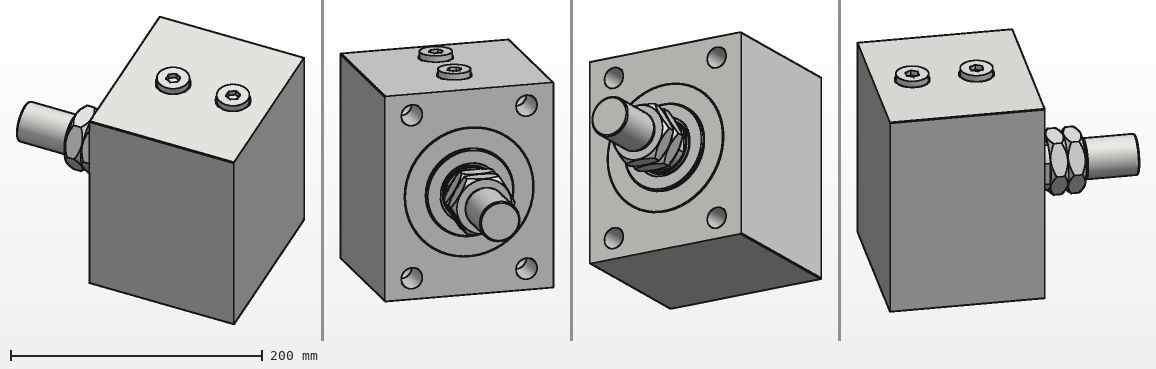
import cadquery as cq
import math

OVERALL_LENGTH = 212.0

BLOCK_LENGTH = 125.0
BLOCK_WIDTH = 140.0
BLOCK_HEIGHT = 170.0
BLOCK_EDGE_CHAMFER = 0.6
BLOCK_TOP = BLOCK_HEIGHT / 2

MOUNT_PITCH_Y = 95.0
MOUNT_PITCH_Z = 135.0
MOUNT_DIAMETER = 17.4
MOUNT_DEPTH = 29.7
DRILL_POINT_ANGLE = 118.0

PLUG_POSITIONS_X = (42.0, 94.0)
PLUG_DIAMETER = 26.0
PLUG_RISE = 4.9
PLUG_SEAT_DIAMETER = 28.0
PLUG_SEAT_DEPTH = 1.0
SOCKET_FLATS = 10.0
SOCKET_DEPTH = 4.2

GLAND_DIAMETER = 107.0
GLAND_DEPTH = 20.0
GLAND_CHAMFER = 0.6
BOSS_DIAMETER = 72.5
BOSS_HEIGHT = 3.2
BOSS_CHAMFER = 1.0
WIPER_RECESS_DIAMETER = 49.5
WIPER_RECESS_DEPTH = 2.1

ROD_DIAMETER = 45.0
ROD_CHAMFER = 0.6
ROD_PROTRUSION = 5.0
NOSE_DIAMETER = 44.3
NOSE_FLATS = 40.3
NOSE_LENGTH = 9.0

HEX_FLATS = 46.0
HEX_LENGTH = 14.2
HEX_FACE_DIAMETER = 45.4
HEX_CORNERS = HEX_FLATS / math.cos(math.pi / 6)

STUD_DIAMETER = 33.0
STUD_CHAMFER = 1.0
NECK_DIAMETER = STUD_DIAMETER - 2 * STUD_CHAMFER
NECK_LENGTH = 2.0

NOSE_BASE_X = -ROD_PROTRUSION
NOSE_END_X = NOSE_BASE_X - NOSE_LENGTH
LOCKNUT_END_X = NOSE_END_X - HEX_LENGTH
COLLAR_END_X = LOCKNUT_END_X - HEX_LENGTH
STUD_BASE_X = COLLAR_END_X - NECK_LENGTH
STUD_TIP_X = BLOCK_LENGTH - OVERALL_LENGTH


def cylinder_x(diameter, x_start, x_end):
    """Cylinder on the rod axis."""
    return cq.Workplane("YZ", origin=(x_start, 0, 0)).circle(diameter / 2).extrude(x_end - x_start)


def cylinder_z(diameter, x, z_start, z_end):
    """Vertical cylinder on a plug axis."""
    return cq.Workplane("XY", origin=(x, 0, z_start)).circle(diameter / 2).extrude(z_end - z_start)


def hexagon_x(x_start):
    """Hexagonal prism on the rod axis, with corners toward +Y and -Y chamfered at both ends."""
    prism = cq.Workplane("YZ", origin=(x_start, 0, 0)).polygon(6, HEX_CORNERS).extrude(HEX_LENGTH)
    corner_chamfer = (HEX_CORNERS - HEX_FACE_DIAMETER) / 2
    envelope = cylinder_x(HEX_CORNERS, x_start, x_start + HEX_LENGTH).edges("%CIRCLE").chamfer(corner_chamfer)
    return prism.intersect(envelope)


def mounting_hole(y, z):
    """Drilled hole with a conical bottom."""
    radius = MOUNT_DIAMETER / 2
    point_length = radius / math.tan(math.radians(DRILL_POINT_ANGLE / 2))
    profile = [(0, 0), (MOUNT_DEPTH + point_length, 0), (MOUNT_DEPTH, radius), (0, radius)]
    hole = cq.Workplane("XY").polyline(profile).close().revolve(360, (0, 0, 0), (1, 0, 0))
    return hole.translate((0, y, z))


def make_housing():
    housing = cq.Workplane("XY").box(
        BLOCK_LENGTH, BLOCK_WIDTH, BLOCK_HEIGHT, centered=(False, True, True)
    )
    housing = housing.edges("|X").chamfer(BLOCK_EDGE_CHAMFER)
    housing = housing.cut(cylinder_x(GLAND_DIAMETER, 0, GLAND_DEPTH))
    for y in (-MOUNT_PITCH_Y / 2, MOUNT_PITCH_Y / 2):
        for z in (-MOUNT_PITCH_Z / 2, MOUNT_PITCH_Z / 2):
            housing = housing.cut(mounting_hole(y, z))
    for x in PLUG_POSITIONS_X:
        housing = housing.cut(cylinder_z(PLUG_SEAT_DIAMETER, x, BLOCK_TOP - PLUG_SEAT_DEPTH, BLOCK_TOP))
    return housing


def make_gland():
    flange = cylinder_x(GLAND_DIAMETER, 0, GLAND_DEPTH).faces("<X").chamfer(GLAND_CHAMFER)
    boss = cylinder_x(BOSS_DIAMETER, -BOSS_HEIGHT, GLAND_DEPTH).faces("<X").chamfer(BOSS_CHAMFER)
    rod_bore = cylinder_x(ROD_DIAMETER, -BOSS_HEIGHT, GLAND_DEPTH)
    wiper_recess = cylinder_x(WIPER_RECESS_DIAMETER, -BOSS_HEIGHT, WIPER_RECESS_DEPTH - BOSS_HEIGHT)
    return flange.union(boss).cut(rod_bore).cut(wiper_recess)


def make_rod():
    """Rod with its flatted nose, hexagonal collar, relief neck and stud in one piece."""
    shank = cylinder_x(ROD_DIAMETER, NOSE_BASE_X, GLAND_DEPTH).faces("<X").chamfer(ROD_CHAMFER)
    square = cq.Workplane("YZ", origin=(NOSE_END_X, 0, 0)).rect(NOSE_FLATS, NOSE_FLATS).extrude(NOSE_LENGTH)
    nose = cylinder_x(NOSE_DIAMETER, NOSE_END_X, NOSE_BASE_X).intersect(square)
    core = cylinder_x(NECK_DIAMETER, STUD_BASE_X, NOSE_END_X)
    stud = cylinder_x(STUD_DIAMETER, STUD_TIP_X, STUD_BASE_X).edges("%CIRCLE").chamfer(STUD_CHAMFER)
    return shank.union(nose).union(core).union(hexagon_x(COLLAR_END_X)).union(stud)


def make_locknut():
    return hexagon_x(LOCKNUT_END_X).cut(cylinder_x(NECK_DIAMETER, LOCKNUT_END_X, NOSE_END_X))


def make_plug(x):
    """Round plug with a hexagonal socket whose corners point toward +Y and -Y."""
    plug_top = BLOCK_TOP + PLUG_RISE
    plug = cylinder_z(PLUG_DIAMETER, x, BLOCK_TOP - PLUG_SEAT_DEPTH, plug_top)
    socket = (
        cq.Workplane("XY", origin=(x, 0, plug_top - SOCKET_DEPTH))
        .transformed(rotate=(0, 0, 90))
        .polygon(6, SOCKET_FLATS / math.cos(math.pi / 6))
        .extrude(SOCKET_DEPTH)
    )
    return plug.cut(socket)


housing = make_housing()
gland = make_gland()
rod = make_rod()
locknut = make_locknut()
plugs = [make_plug(x).val() for x in PLUG_POSITIONS_X]

result = cq.Compound.makeCompound([housing.val(), gland.val(), rod.val(), locknut.val(), *plugs])